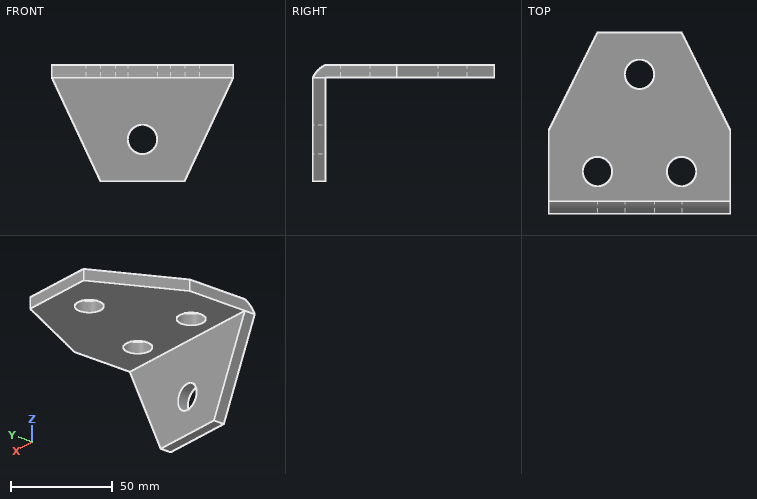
import cadquery as cq

width = 89.09
depth = 89.17
height = 57.26
thickness = 6.35

end_width = 41.275
straight_depth = 41.275
hole_diameter = 14.2875
hole_spacing = end_width
hole_to_edge = end_width / 2
front_holes_y = 20.8

bend_radius = 2 * thickness


def top_plate():
    """Horizontal plate with its rear corners cut to a taper."""
    outline = [
        (-width / 2, 0),
        (width / 2, 0),
        (width / 2, straight_depth),
        (end_width / 2, depth),
        (-end_width / 2, depth),
        (-width / 2, straight_depth),
    ]
    holes = [
        (-hole_spacing / 2, front_holes_y),
        (hole_spacing / 2, front_holes_y),
        (0, depth - hole_to_edge),
    ]
    plate = cq.Workplane("XY").polyline(outline).close().extrude(-thickness)
    cutters = cq.Workplane("XY").pushPoints(holes).circle(hole_diameter / 2).extrude(-thickness)
    return plate.cut(cutters)


def front_flange():
    """Vertical trapezoid hanging from the front edge of the plate."""
    outline = [
        (-width / 2, -thickness),
        (width / 2, -thickness),
        (end_width / 2, -height),
        (-end_width / 2, -height),
    ]
    flange = cq.Workplane("XZ").polyline(outline).close().extrude(-thickness)
    hole = (
        cq.Workplane("XZ")
        .center(0, hole_to_edge - height)
        .circle(hole_diameter / 2)
        .extrude(-thickness)
    )
    return flange.cut(hole)


def bend_waste():
    """Material outside the rounded corner, along the full width."""
    return (
        cq.Workplane("YZ")
        .moveTo(0, -thickness)
        .lineTo(0, 0)
        .lineTo(thickness, 0)
        .radiusArc((0, -thickness), -bend_radius)
        .close()
        .extrude(width / 2, both=True)
    )


result = top_plate().cut(bend_waste()).union(front_flange())